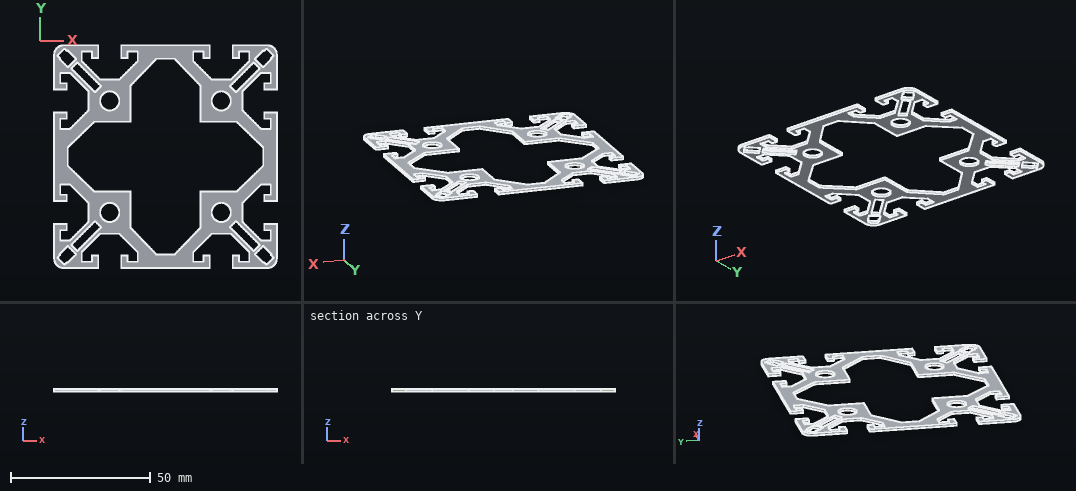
import cadquery as cq
import math

side = 80.0
thickness = 1.0
corner_radius = 3.5
half_side = side / 2

cell_pitch = side / 2
cell_center = cell_pitch / 2
hole_diameter = 6.8

mouth_half = 4.1
lip_inner_half = 6.4
pocket_half = 10.0
floor_half = 3.4
lip_thickness = 2.3
lip_depth = 4.6
floor_depth = 12.3
pocket_wall_depth = floor_depth - (pocket_half - floor_half)

core_edge = 12.5
cavity_reach = 35.0
cavity_end_half = 3.3
cavity_flank_reach = 25.5

outer_window_start = 3.5
outer_window_step = 4.9
outer_window_end = 9.1
outer_window_neck_width = 3.5
outer_window_width = 4.2
inner_window_start = 10.3
inner_window_end = 22.3
inner_window_width = 3.0


def extrude_outline(points):
    """Solid of plate thickness over a closed polygon."""
    return cq.Workplane("XY").polyline(points).close().extrude(thickness)


def t_slot(center_x):
    """T-slot cutter opening through the -Y edge."""
    right_half = [
        (mouth_half, 0),
        (mouth_half, lip_depth),
        (lip_inner_half, lip_depth),
        (lip_inner_half, lip_thickness),
        (pocket_half, lip_thickness),
        (pocket_half, pocket_wall_depth),
        (floor_half, floor_depth),
    ]
    left_half = [(-x, depth) for x, depth in reversed(right_half)]
    outline = [(center_x + x, depth - half_side) for x, depth in right_half + left_half]
    return extrude_outline(outline)


def cavity():
    """Cross-shaped central opening with tapered arm ends."""
    arm = [
        (core_edge, -core_edge),
        (cavity_flank_reach, -core_edge),
        (cavity_reach, -cavity_end_half),
        (cavity_reach, cavity_end_half),
        (cavity_flank_reach, core_edge),
    ]
    outline = list(arm)
    for _ in range(3):
        arm = [(-y, x) for x, y in arm]
        outline += arm
    return extrude_outline(outline)


def diagonal_window(start, end, width):
    """Rectangular window lying on the diagonal of the +X +Y corner."""
    corner_distance = half_side * math.sqrt(2)
    middle = corner_distance - (start + end) / 2
    window = cq.Workplane("XY").center(middle, 0).rect(end - start, width).extrude(thickness)
    return window.rotate((0, 0, 0), (0, 0, 1), 45)


plate = cq.Workplane("XY").rect(side, side).extrude(thickness)
plate = plate.edges("|Z").fillet(corner_radius)
plate = plate.cut(cavity())

holes = (
    cq.Workplane("XY")
    .rect(cell_pitch, cell_pitch, forConstruction=True)
    .vertices()
    .circle(hole_diameter / 2)
    .extrude(thickness)
)
plate = plate.cut(holes)

quarter_cutters = [
    t_slot(-cell_center),
    t_slot(cell_center),
    diagonal_window(outer_window_start, outer_window_step, outer_window_neck_width),
    diagonal_window(outer_window_step, outer_window_end, outer_window_width),
    diagonal_window(inner_window_start, inner_window_end, inner_window_width),
]
for angle in (0, 90, 180, 270):
    for cutter in quarter_cutters:
        plate = plate.cut(cutter.rotate((0, 0, 0), (0, 0, 1), angle))

result = plate